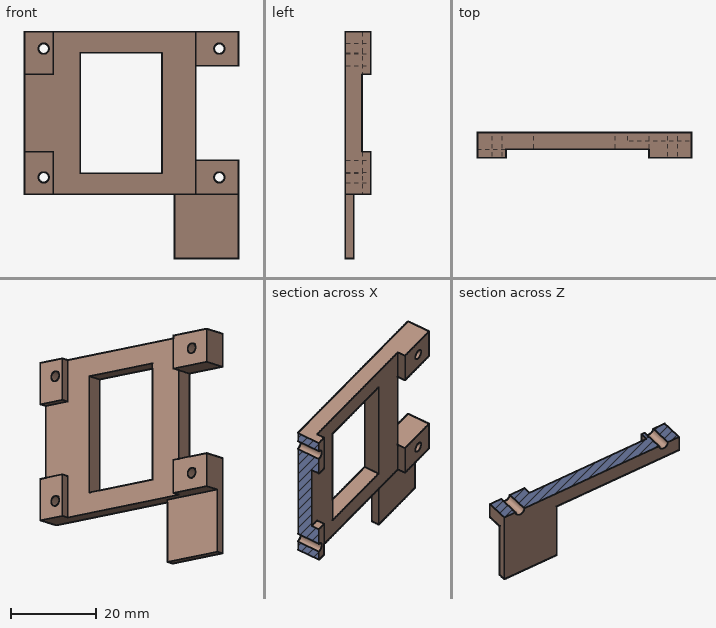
import cadquery as cq

total_width = 50.0
total_height = 53.0
total_depth = 6.0

frame_width = 40.0
frame_depth = 4.0
foot_height = 15.0
frame_height = total_height - foot_height
window_left = 13.1
window_width = 19.0
window_border = 5.0

pad_width = 6.7
pad_height = 10.0
tab_width = total_width - frame_width
tab_height = 8.0

foot_width = 15.0
foot_depth = 2.0

hole_diameter = 2.4
hole_side_inset = 4.5
hole_end_inset = 4.0


def block(left, bottom, width, height, depth):
    """Box whose back face lies at Y = 0 and which grows forward, toward -Y."""
    return cq.Workplane("XY").box(width, depth, height, centered=False).translate((left, -depth, bottom))


frame = block(0, 0, frame_width, frame_height, frame_depth)
window = block(window_left, window_border, window_width, frame_height - 2 * window_border, frame_depth)
result = frame.cut(window)

for pad_bottom in (0, frame_height - pad_height):
    result = result.union(block(0, pad_bottom, pad_width, pad_height, total_depth))
for tab_bottom in (0, frame_height - tab_height):
    result = result.union(block(frame_width, tab_bottom, tab_width, tab_height, total_depth))

foot = block(total_width - foot_width, -foot_height, foot_width, foot_height, foot_depth)
result = result.union(foot)

hole_centers = [
    (x, z)
    for x in (hole_side_inset, total_width - hole_side_inset)
    for z in (hole_end_inset, frame_height - hole_end_inset)
]
holes = cq.Workplane("XZ").pushPoints(hole_centers).circle(hole_diameter / 2).extrude(total_depth)
result = result.cut(holes)